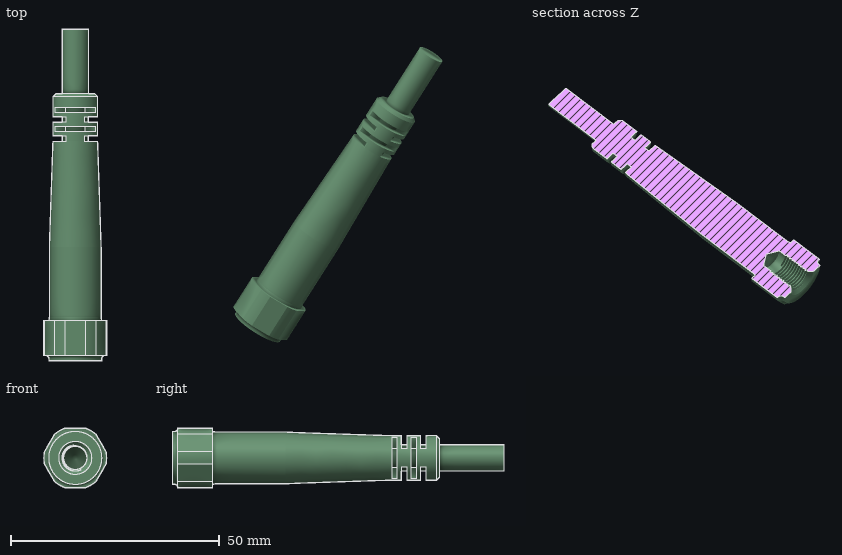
import cadquery as cq
import math

total_length = 79.43
cable_diameter = 6.35
cable_length = 15.44

collar_diameter = 10.75
collar_chamfer = 0.762
collar_solid_length = 3.302
body_diameter = 12.45
straight_body_end = 27.15
flare_diameter = 12.7
flare_length = 0.762

slot_width = 1.27
rib_width = 1.016
slot_count = 4
slot_floor = 2.2

nut_across_flats = 14.288
nut_corner_diameter = 15.084
nut_length = 8.4
lip_diameter = 12.7
lip_length = 1.27
lip_fillet = 0.762

mouth_diameter = 7.9
thread_major_diameter = 6.35
thread_minor_diameter = 5.55
thread_pitch = 0.706
thread_groove_width = 0.635
thread_overlap = 0.05
thread_turns = 10
thread_start = 0.8
thread_start_angle = 65
bore_depth = 10.0
drill_tip_angle = 118.0
countersink_angle = 90.0

cable_start = total_length - cable_length
slots_end = cable_start - collar_solid_length
slot_pitch = slot_width + rib_width
slots_start = slots_end - slot_count * slot_width - (slot_count - 1) * rib_width
nut_back = lip_length + nut_length


def cylinder(diameter, start, end):
    """Cylinder on the Y axis between two Y positions."""
    return cq.Workplane("XZ", origin=(0, start, 0)).circle(diameter / 2).extrude(start - end)


def make_body():
    """Turned profile of the moulded body, from inside the nut to the collar."""
    body_radius = body_diameter / 2
    collar_radius = collar_diameter / 2
    profile = (
        cq.Workplane("XY")
        .moveTo(0, lip_length)
        .lineTo(flare_diameter / 2, lip_length)
        .lineTo(flare_diameter / 2, nut_back)
        .lineTo(body_radius, nut_back + flare_length)
        .lineTo(body_radius, straight_body_end)
        .lineTo(collar_radius, slots_start)
        .lineTo(collar_radius, cable_start - collar_chamfer)
        .lineTo(collar_radius - collar_chamfer, cable_start)
        .lineTo(0, cable_start)
        .close()
    )
    return profile.revolve(360, (0, 0, 0), (0, 1, 0))


def cut_relief_slots(body):
    """Cut pairs of opposed slots, turning each pair a quarter turn from the last."""
    slot_depth = collar_diameter / 2 - slot_floor
    slot_centre = (collar_diameter / 2 + slot_floor) / 2
    for index in range(slot_count):
        middle = slots_end - slot_width / 2 - index * slot_pitch
        turn = 90 * (index % 2)
        for side in (1, -1):
            slot = (
                cq.Workplane("XY")
                .box(collar_diameter, slot_width, slot_depth)
                .translate((0, middle, side * slot_centre))
                .rotate((0, 0, 0), (0, 1, 0), turn)
            )
            body = body.cut(slot)
    return body


def make_nut():
    """Hexagon with corners rounded to a cylinder, and a filleted lip in front."""
    hexagon_diameter = nut_across_flats / math.cos(math.pi / 6)
    hexagon = (
        cq.Workplane("XZ", origin=(0, lip_length, 0))
        .polygon(6, hexagon_diameter)
        .extrude(-nut_length)
    )
    nut = hexagon.intersect(cylinder(nut_corner_diameter, lip_length, nut_back))
    lip_radius = lip_diameter / 2
    fillet_middle = lip_fillet * (1 - math.sqrt(0.5))
    lip = (
        cq.Workplane("XY")
        .lineTo(lip_radius, 0)
        .lineTo(lip_radius, lip_length - lip_fillet)
        .threePointArc(
            (lip_radius + fillet_middle, lip_length - fillet_middle),
            (lip_radius + lip_fillet, lip_length),
        )
        .lineTo(0, lip_length)
        .close()
        .revolve(360, (0, 0, 0), (0, 1, 0))
    )
    return nut.union(lip)


def make_bore():
    """Countersunk blind hole with a conical drill tip."""
    mouth_radius = mouth_diameter / 2
    bore_radius = thread_minor_diameter / 2
    countersink_depth = (mouth_radius - bore_radius) / math.tan(math.radians(countersink_angle / 2))
    tip_length = bore_radius / math.tan(math.radians(drill_tip_angle / 2))
    return (
        cq.Workplane("XY")
        .lineTo(mouth_radius, 0)
        .lineTo(bore_radius, countersink_depth)
        .lineTo(bore_radius, bore_depth)
        .lineTo(0, bore_depth + tip_length)
        .close()
        .revolve(360, (0, 0, 0), (0, 1, 0))
    )


def make_thread_groove():
    """Helical V groove of the internal thread."""
    inner_radius = thread_minor_diameter / 2 - thread_overlap
    outer_radius = thread_major_diameter / 2
    half_width = thread_groove_width / 2
    height = thread_turns * thread_pitch
    path = cq.Wire.makeHelix(thread_pitch, height, inner_radius)
    groove = (
        cq.Workplane("XZ")
        .moveTo(inner_radius, -half_width)
        .lineTo(outer_radius, 0)
        .lineTo(inner_radius, half_width)
        .close()
        .sweep(cq.Workplane(path), isFrenet=True)
    )
    groove = groove.rotate((0, 0, 0), (0, 0, 1), thread_start_angle)
    return groove.rotate((0, 0, 0), (1, 0, 0), -90).translate((0, thread_start, 0))


cable = cylinder(cable_diameter, nut_back, total_length)
body = cut_relief_slots(make_body()).union(cable)
result = body.union(make_nut()).cut(make_bore()).cut(make_thread_groove())